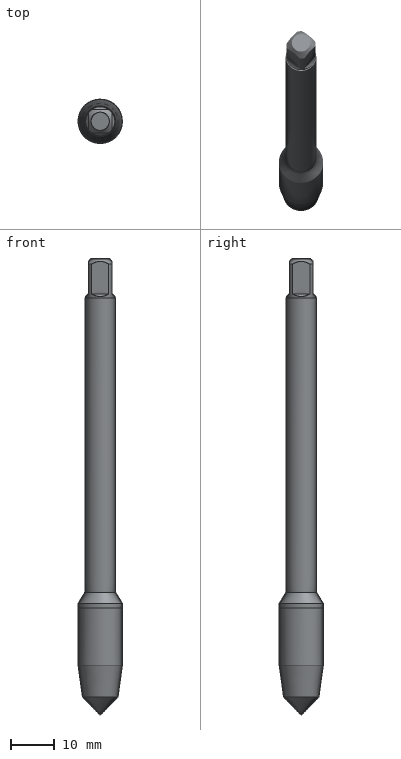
import cadquery as cq

total_length = 104.3
point_length = 4.2
taper_end = 11.4
cutting_length = 24.5
collar_end = 25.5
neck_start = 28.1

cutting_diameter = 10.1
point_diameter = 8.1
shank_diameter = 7.0

square_width = 5.4
square_corner_diameter = 6.7
square_chamfer = 1.3
flat_length = 8.0
drive_length = 9.0

cutting_radius = cutting_diameter / 2
point_radius = point_diameter / 2
shank_radius = shank_diameter / 2
square_corner_radius = square_corner_diameter / 2
shoulder_height = total_length - drive_length
flat_end = total_length - flat_length

runout_width = square_width + 2 * drive_length - 2 * flat_length


def revolve_profile(points):
    """Revolve a closed (radius, height) outline about the Z axis."""
    return cq.Workplane("XZ").polyline(points).close().revolve(360, (0, 0), (0, 1))


def make_cutting_head():
    """Conical point, tapered lead and full-diameter cylinder."""
    return revolve_profile([
        (0, 0),
        (point_radius, point_length),
        (cutting_radius, taper_end),
        (cutting_radius, cutting_length),
        (0, cutting_length),
    ])


def make_square_drive():
    """Chamfered round end milled to a square whose flats run out in 45-degree slopes."""
    round_end = (
        cq.Workplane("XY")
        .workplane(offset=shoulder_height)
        .circle(square_corner_radius)
        .extrude(drive_length)
        .faces(">Z")
        .chamfer(square_chamfer)
    )
    square = (
        cq.Workplane("XY")
        .workplane(offset=flat_end)
        .rect(square_width, square_width)
        .extrude(flat_length)
    )
    runout = (
        cq.Workplane("XY")
        .workplane(offset=shoulder_height)
        .rect(runout_width, runout_width)
        .workplane(offset=flat_end - shoulder_height)
        .rect(square_width, square_width)
        .loft(ruled=True)
    )
    return round_end.intersect(square.union(runout))


def make_shank():
    """Collar on the cutting head, conical neck, round shank and square drive."""
    turned_shank = revolve_profile([
        (0, cutting_length),
        (cutting_radius, cutting_length),
        (cutting_radius, collar_end),
        (shank_radius, neck_start),
        (shank_radius, shoulder_height),
        (0, shoulder_height),
    ])
    return turned_shank.union(make_square_drive())


cutting_head = make_cutting_head()
shank = make_shank()

result = cq.Compound.makeCompound([cutting_head.val(), shank.val()])